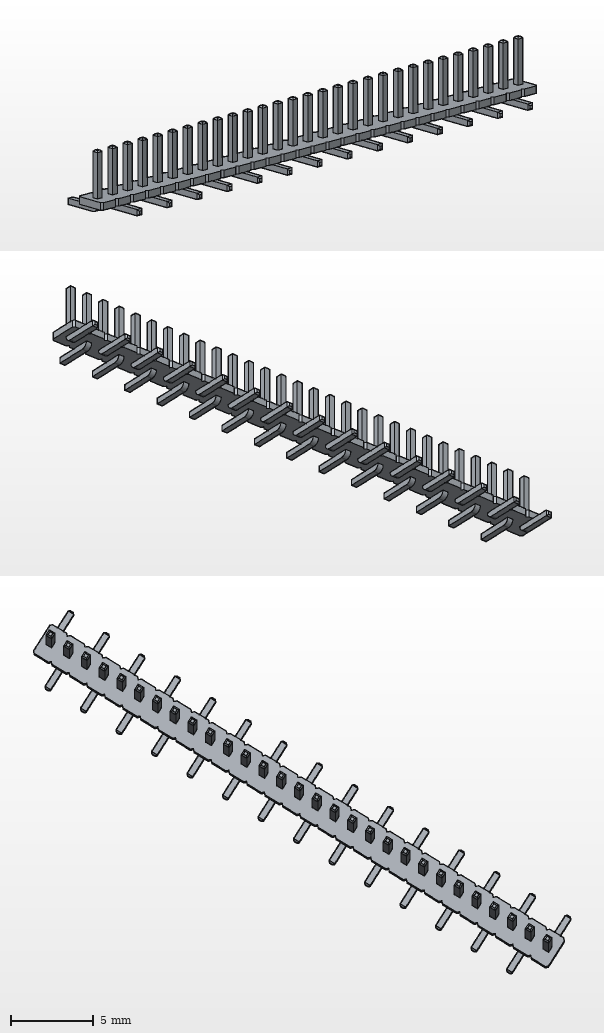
import cadquery as cq


PIN_COUNT = 29
ROW_LENGTH = 36.83
PITCH = ROW_LENGTH / PIN_COUNT
OVERALL_WIDTH = 4.9
OVERALL_HEIGHT = 3.9

BODY_WIDTH = 2.1
BODY_HEIGHT = 0.48
BODY_CHAMFER = 0.13

PIN_SIZE = 0.4
TIP_CHAMFER = 0.1
BEND_RADIUS = PIN_SIZE


def pin_position(index):
    """Y position of a pin, counted from the -Y end of the row."""
    return (index + 0.5) * PITCH - ROW_LENGTH / 2


def make_body():
    """Row of touching blocks whose chamfered corners form V grooves along both sides."""
    block = (
        cq.Workplane("XY")
        .workplane(offset=PIN_SIZE)
        .box(BODY_WIDTH, PITCH, BODY_HEIGHT, centered=(True, True, False))
        .edges("|Z")
        .chamfer(BODY_CHAMFER)
    )
    blocks = cq.Workplane("XY")
    for index in range(PIN_COUNT):
        blocks = blocks.add(block.translate((0, pin_position(index), 0)))
    return blocks.combine()


def make_left_pin():
    """Square L-shaped pin at Y = 0 whose foot points toward -X."""
    half_pin = PIN_SIZE / 2
    foot_end = -OVERALL_WIDTH / 2
    return (
        cq.Workplane("XZ")
        .moveTo(foot_end, 0)
        .lineTo(half_pin - BEND_RADIUS, 0)
        .radiusArc((half_pin, BEND_RADIUS), -BEND_RADIUS)
        .lineTo(half_pin, OVERALL_HEIGHT)
        .lineTo(-half_pin, OVERALL_HEIGHT)
        .lineTo(-half_pin, PIN_SIZE)
        .lineTo(foot_end, PIN_SIZE)
        .close()
        .extrude(half_pin, both=True)
        .faces(">Z or <X")
        .chamfer(TIP_CHAMFER)
    )


left_pin = make_left_pin()
right_pin = left_pin.mirror("YZ")

header = make_body()
for index in range(PIN_COUNT):
    pin = left_pin if index % 2 == 0 else right_pin
    header = header.union(pin.translate((0, pin_position(index), 0)))

result = header